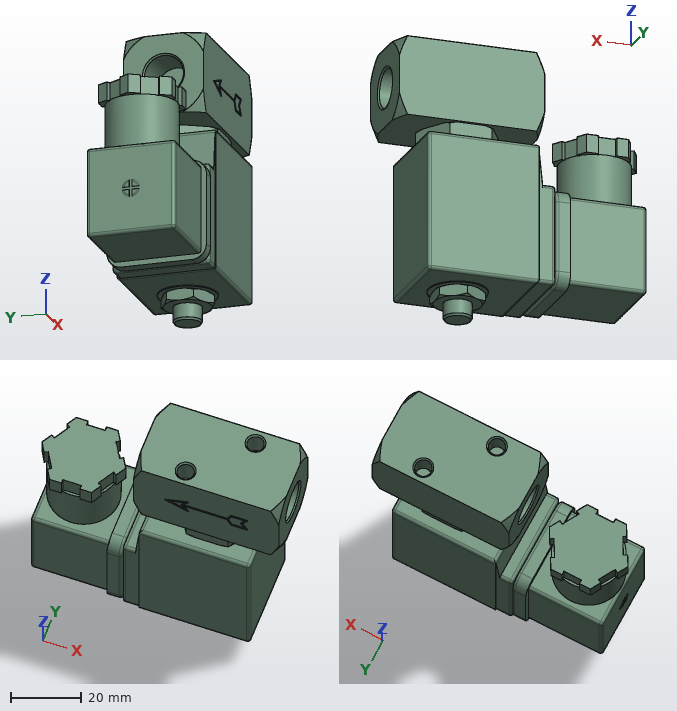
import cadquery as cq
import math


BLOCK_LENGTH = 44.0
BLOCK_WIDTH = 23.9
BLOCK_TOP = 79.75
BLOCK_BOTTOM = BLOCK_TOP - BLOCK_WIDTH
PORT_HEIGHT = (BLOCK_TOP + BLOCK_BOTTOM) / 2
BLOCK_FACE_RADIUS = 13.2
BLOCK_TURN_LENGTH = 2.5
PORT_DIAMETER = 11.65
PORT_DEPTH = 12.0
PORT_CHAMFER = 0.5
MOUNT_OFFSET = 7.7
MOUNT_DIAMETER = 4.95
MOUNT_DEPTH = 8.0
MOUNT_CHAMFER = 0.5

ARROW_HALF_LENGTH = 12.45
ARROW_HALF_HEIGHT = 2.5
ARROW_LINE_WIDTH = 0.3
ARROW_BARB_X = -5.4
ARROW_HEAD_NOTCH_X = -7.2
ARROW_TAIL_FRONT_X = 6.2
ARROW_TAIL_SHOULDER_X = 7.5
ARROW_TAIL_NOTCH_X = 10.85
ARROW_DEPTH = 0.2

COIL_LEFT = -19.3
COIL_RIGHT = 14.3
COIL_WIDTH = 29.75
COIL_BOTTOM = 8.6
COIL_TOP = 50.65
COIL_FILLET = 0.95

UPPER_HEX_CORNERS = 25.45
UPPER_HEX_CHAMFER = 0.95

WASHER_DIAMETER = 17.5
WASHER_BOTTOM = 8.3
NUT_FLATS = 13.95
NUT_BOTTOM = 4.9
NUT_CHAMFER = 1.0
STEM_DIAMETER = 8.4
STEM_CHAMFER_WIDTH = 0.4
STEM_CHAMFER_HEIGHT = 0.6

PLATE_WIDTH = 29.0
PLATE_BOTTOM = 8.85
PLATE_TOP = 38.8
PLATE_LEFT = -24.4
PLATE_FILLET = 0.95
WEB_REACH = 1.1

CONNECTOR_Y = -0.2
CONNECTOR_Z = 23.5
GASKET_SIZE = 29.75
GASKET_LEFT = -28.9
GASKET_CORNER = 4.3
GASKET_FILLET = 0.9
BOX_SIZE = 26.5
BOX_LEFT = -52.55
BOX_FILLET = 0.95
NECK_X = -41.4
NECK_DIAMETER = 21.2
KNOB_BOTTOM = 51.8
KNOB_TOP = 57.35
KNOB_CORNERS = 25.4
KNOB_NOTCH_WIDTH = 5.6
KNOB_NOTCH_DEPTH = 1.2

MARK_DIAMETER = 5.0
MARK_TOP_DIAMETER = 4.15
MARK_HEIGHT = 0.1
MARK_SLOT = 0.8

HEX_SIDES = 6
COS_30 = math.cos(math.radians(30))
TAN_30 = math.tan(math.radians(30))


def box_between(x_range, y_center, width, z_range):
    """Box given by its X limits, Y centre and width, and Z limits."""
    size_x = x_range[1] - x_range[0]
    size_z = z_range[1] - z_range[0]
    center = (sum(x_range) / 2, y_center, sum(z_range) / 2)
    return cq.Workplane("XY").box(size_x, width, size_z).translate(center)


def chamfered_hexagon(corners, bottom, top, chamfer, turn):
    """Hexagon prism on the valve axis with its corners turned off at 30 degrees on both ends."""
    height = top - bottom
    radius = corners / 2
    drop = chamfer * TAN_30
    prism = cq.Workplane("XY").polygon(HEX_SIDES, corners).extrude(height)
    envelope = (
        cq.Workplane("XZ")
        .moveTo(0, 0)
        .lineTo(radius - chamfer, 0)
        .lineTo(radius, drop)
        .lineTo(radius, height - drop)
        .lineTo(radius - chamfer, height)
        .lineTo(0, height)
        .close()
        .revolve(360, (0, 0), (0, 1))
    )
    hexagon = prism.intersect(envelope)
    return hexagon.rotate((0, 0, 0), (0, 0, 1), turn).translate((0, 0, bottom))


def blind_hole(diameter, depth, chamfer):
    """Cutter along -Z from the origin: a flat-bottomed hole with a 45 degree countersink."""
    radius = diameter / 2
    return (
        cq.Workplane("XZ")
        .moveTo(0, 0)
        .lineTo(radius + chamfer, 0)
        .lineTo(radius, -chamfer)
        .lineTo(radius, -depth)
        .lineTo(0, -depth)
        .close()
        .revolve(360, (0, 0), (0, 1))
    )


def engraved_outline(points):
    """Groove along the inside of a closed outline in the XZ plane."""
    outer = cq.Workplane("XZ").polyline(points).close().extrude(ARROW_DEPTH)
    inner = (
        cq.Workplane("XZ")
        .polyline(points)
        .close()
        .offset2D(-ARROW_LINE_WIDTH, "intersection")
        .extrude(ARROW_DEPTH)
    )
    return outer.cut(inner)


def flow_arrow():
    """Cutter for the engraved arrow that points to -X: outlined head and tail, joined by a line."""
    head = engraved_outline([
        (-ARROW_HALF_LENGTH, 0),
        (ARROW_BARB_X, ARROW_HALF_HEIGHT),
        (ARROW_HEAD_NOTCH_X, 0),
        (ARROW_BARB_X, -ARROW_HALF_HEIGHT),
    ])
    tail = engraved_outline([
        (ARROW_TAIL_FRONT_X, 0),
        (ARROW_TAIL_SHOULDER_X, ARROW_HALF_HEIGHT),
        (ARROW_HALF_LENGTH, ARROW_HALF_HEIGHT),
        (ARROW_TAIL_NOTCH_X, 0),
        (ARROW_HALF_LENGTH, -ARROW_HALF_HEIGHT),
        (ARROW_TAIL_SHOULDER_X, -ARROW_HALF_HEIGHT),
    ])
    shaft = (
        cq.Workplane("XZ")
        .center((ARROW_HEAD_NOTCH_X + ARROW_TAIL_FRONT_X) / 2, 0)
        .rect(ARROW_TAIL_FRONT_X - ARROW_HEAD_NOTCH_X + ARROW_LINE_WIDTH, ARROW_LINE_WIDTH)
        .extrude(ARROW_DEPTH)
    )
    arrow = head.union(tail).union(shaft)
    return arrow.translate((0, ARROW_DEPTH - BLOCK_WIDTH / 2, PORT_HEIGHT))


def port_block():
    half_length = BLOCK_LENGTH / 2
    corner_radius = BLOCK_WIDTH / math.sqrt(2)
    block = box_between((-half_length, half_length), 0, BLOCK_WIDTH, (BLOCK_BOTTOM, BLOCK_TOP))

    envelope = (
        cq.Workplane("XY")
        .moveTo(-half_length, 0)
        .lineTo(-half_length, BLOCK_FACE_RADIUS)
        .lineTo(BLOCK_TURN_LENGTH - half_length, corner_radius)
        .lineTo(half_length - BLOCK_TURN_LENGTH, corner_radius)
        .lineTo(half_length, BLOCK_FACE_RADIUS)
        .lineTo(half_length, 0)
        .close()
        .revolve(360, (0, 0), (1, 0))
        .translate((0, 0, PORT_HEIGHT))
    )
    block = block.intersect(envelope)

    port = blind_hole(PORT_DIAMETER, PORT_DEPTH, PORT_CHAMFER)
    mount = blind_hole(MOUNT_DIAMETER, MOUNT_DEPTH, MOUNT_CHAMFER)
    for side in (-1, 1):
        turned_port = port.rotate((0, 0, 0), (0, 1, 0), side * 90)
        block = block.cut(turned_port.translate((side * half_length, 0, PORT_HEIGHT)))
        block = block.cut(mount.translate((side * MOUNT_OFFSET, side * MOUNT_OFFSET, BLOCK_TOP)))
    return block.cut(flow_arrow())


def coil_housing():
    housing = box_between((COIL_LEFT, COIL_RIGHT), 0, COIL_WIDTH, (COIL_BOTTOM, COIL_TOP))
    return housing.edges("|X or |Y or (|Z and >X)").fillet(COIL_FILLET)


def terminal_plate():
    overlap = 2 * PLATE_FILLET
    plate = box_between(
        (PLATE_LEFT, COIL_LEFT + overlap), 0, PLATE_WIDTH, (PLATE_BOTTOM, PLATE_TOP)
    )
    plate = plate.edges("|X or <X").fillet(PLATE_FILLET)
    web = (
        cq.Workplane("XZ")
        .moveTo(COIL_LEFT, COIL_TOP - COIL_FILLET)
        .lineTo(COIL_LEFT - WEB_REACH, PLATE_TOP)
        .lineTo(COIL_LEFT - WEB_REACH, PLATE_BOTTOM + PLATE_FILLET)
        .lineTo(COIL_LEFT + overlap, PLATE_BOTTOM + PLATE_FILLET)
        .lineTo(COIL_LEFT + overlap, COIL_TOP - COIL_FILLET)
        .close()
        .extrude(PLATE_WIDTH / 2, both=True)
    )
    return plate.union(web)


def lower_fastening():
    washer = (
        cq.Workplane("XY")
        .workplane(offset=WASHER_BOTTOM)
        .circle(WASHER_DIAMETER / 2)
        .extrude(COIL_BOTTOM - WASHER_BOTTOM)
    )
    nut = chamfered_hexagon(NUT_FLATS / COS_30, NUT_BOTTOM, WASHER_BOTTOM, NUT_CHAMFER, 30)
    stem = (
        cq.Workplane("XY")
        .circle(STEM_DIAMETER / 2)
        .extrude(NUT_BOTTOM)
        .faces("<Z")
        .chamfer(STEM_CHAMFER_HEIGHT, STEM_CHAMFER_WIDTH)
    )
    return washer.union(nut).union(stem)


def gasket():
    gasket_z = (CONNECTOR_Z - GASKET_SIZE / 2, CONNECTOR_Z + GASKET_SIZE / 2)
    seal = box_between((GASKET_LEFT, PLATE_LEFT), CONNECTOR_Y, GASKET_SIZE, gasket_z)
    return seal.edges("|X").fillet(GASKET_CORNER).faces(">X").edges().fillet(GASKET_FILLET)


def knob():
    """Hexagonal knob with a notch in the middle of each side."""
    height = KNOB_TOP - KNOB_BOTTOM
    apothem = KNOB_CORNERS / 2 * COS_30
    body = cq.Workplane("XY").polygon(HEX_SIDES, KNOB_CORNERS).extrude(height)
    notch = (
        cq.Workplane("XY")
        .rect(KNOB_NOTCH_WIDTH, 2 * KNOB_NOTCH_DEPTH)
        .extrude(height)
        .translate((0, apothem, 0))
    )
    for side in range(HEX_SIDES):
        body = body.cut(notch.rotate((0, 0, 0), (0, 0, 1), side * 360 / HEX_SIDES))
    return body.translate((NECK_X, 0, KNOB_BOTTOM))


def screw_mark():
    """Four raised, bevelled quadrants separated by a cross."""
    disc = (
        cq.Workplane("YZ")
        .circle(MARK_DIAMETER / 2)
        .workplane(offset=-MARK_HEIGHT)
        .circle(MARK_TOP_DIAMETER / 2)
        .loft(ruled=True)
    )
    slot = cq.Workplane("XY").box(3 * MARK_HEIGHT, 2 * MARK_DIAMETER, MARK_SLOT)
    disc = disc.cut(slot).cut(slot.rotate((0, 0, 0), (1, 0, 0), 90))
    return disc.translate((BOX_LEFT, CONNECTOR_Y, CONNECTOR_Z))


def connector():
    box_z = (CONNECTOR_Z - BOX_SIZE / 2, CONNECTOR_Z + BOX_SIZE / 2)
    box = box_between((BOX_LEFT, GASKET_LEFT), CONNECTOR_Y, BOX_SIZE, box_z)
    box = box.edges("|X or <X").fillet(BOX_FILLET)
    neck = (
        cq.Workplane("XY")
        .workplane(offset=CONNECTOR_Z)
        .center(NECK_X, 0)
        .circle(NECK_DIAMETER / 2)
        .extrude(KNOB_BOTTOM - CONNECTOR_Z)
    )
    return box.union(neck).union(knob()).union(screw_mark()).union(gasket())


upper_hexagon = chamfered_hexagon(UPPER_HEX_CORNERS, COIL_TOP, BLOCK_BOTTOM, UPPER_HEX_CHAMFER, 0)

result = (
    coil_housing()
    .union(terminal_plate())
    .union(upper_hexagon)
    .union(port_block())
    .union(lower_fastening())
    .union(connector())
)